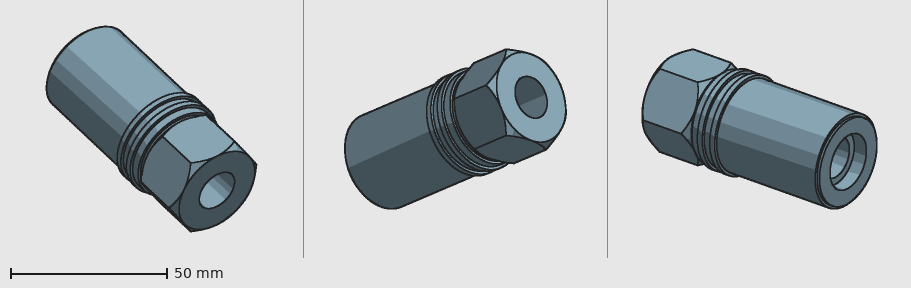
import cadquery as cq
import math

total_length = 72.0
hex_length = 20.0
step_length = 1.0
ring_width = 2.0
ring_starts = (41.0, 46.0)
counterbore_depth = 5.0

sleeve_diameter = 32.0
ring_diameter = 34.0
bore_diameter = 14.0
counterbore_diameter = 19.0

hex_across_flats = 30.0
step_diameter = hex_across_flats
hex_across_corners = hex_across_flats / math.cos(math.pi / 6)
corner_chamfer = (hex_across_corners - hex_across_flats) / 2

hex_start = total_length - hex_length
sleeve_length = hex_start - 2 * step_length


def cylinder(start, length, diameter):
    """Cylinder on the X axis, from start towards +X."""
    return cq.Workplane("YZ", origin=(start, 0, 0)).circle(diameter / 2).extrude(length)


def chamfered_hexagon():
    """Hexagon with flats on +Z and -Z, its corners turned off at 45 degrees at both ends."""
    hexagon = (
        cq.Workplane("YZ", origin=(hex_start, 0, 0))
        .polygon(6, hex_across_corners)
        .extrude(hex_length)
    )
    turned_blank = cylinder(hex_start, hex_length, hex_across_corners).edges("%CIRCLE").chamfer(corner_chamfer)
    return hexagon.intersect(turned_blank)


body = cylinder(0, hex_start, step_diameter)
body = body.union(cylinder(step_length, sleeve_length, sleeve_diameter))
for ring_start in ring_starts:
    body = body.union(cylinder(ring_start, ring_width, ring_diameter))

body = body.union(chamfered_hexagon())

body = body.cut(cylinder(0, total_length, bore_diameter))
result = body.cut(cylinder(0, counterbore_depth, counterbore_diameter))